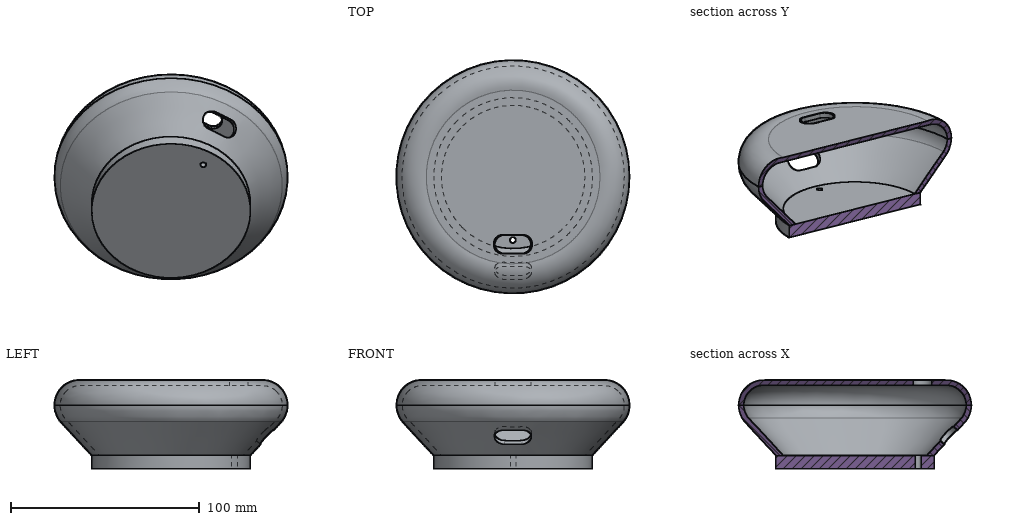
import cadquery as cq
import math

outer_radius = 61.9
total_height = 47.1
wall = 3.0

base_radius = 42.1
base_height = 7.0
cable_hole_diameter = 3.0
cable_hole_y = -33.5

rim_radius = 13.5
rim_center_radius = outer_radius - rim_radius
parting_height = total_height - rim_radius
top_face_radius = 46.0
knuckle_height = 25.1

cover_slot_length = 19.0
cover_slot_width = 9.7
cover_recess_length = 20.5
cover_recess_width = 10.1
cover_recess_depth = 0.1
cover_slot_y = -35.8
bowl_slot_length = 19.5
bowl_slot_width = 10.1
bowl_slot_height = 16.6

inner_rim_radius = rim_radius - wall
knuckle_angle = math.asin((knuckle_height - parting_height) / rim_radius)
top_face_angle = math.acos((top_face_radius - rim_center_radius) / rim_radius)
knuckle_radius = rim_center_radius + rim_radius * math.cos(knuckle_angle)
cone_angle = math.atan2(knuckle_radius - base_radius, knuckle_height - base_height)
base_inner_radius = base_radius - wall / math.cos(cone_angle)


def rim_point(radius, angle):
    """Point (r, z) on a circle about the rim center, angle measured from the outward direction."""
    return (rim_center_radius + radius * math.cos(angle), parting_height + radius * math.sin(angle))


def make_base():
    """Solid disc that closes the bowl from below, with a small cable hole."""
    disc = cq.Workplane("XY").circle(base_radius).extrude(base_height)
    hole = cq.Workplane("XY").center(0, cable_hole_y).circle(cable_hole_diameter / 2).extrude(base_height)
    return disc.cut(hole)


def make_bowl():
    """Conical shell that rises from the base and curves into the lower half of the rim."""
    shell = (
        cq.Workplane("XZ")
        .moveTo(base_inner_radius, base_height)
        .lineTo(base_radius, base_height)
        .lineTo(*rim_point(rim_radius, knuckle_angle))
        .threePointArc(rim_point(rim_radius, knuckle_angle / 2), rim_point(rim_radius, 0))
        .lineTo(*rim_point(inner_rim_radius, 0))
        .threePointArc(
            rim_point(inner_rim_radius, knuckle_angle / 2), rim_point(inner_rim_radius, knuckle_angle)
        )
        .close()
        .revolve(360, (0, 0, 0), (0, 1, 0))
    )
    return shell.cut(bowl_slot())


def bowl_slot():
    """Slot cutter perpendicular to the cone on the -Y side."""
    cone_radius = base_radius + (bowl_slot_height - base_height) * math.tan(cone_angle)
    outward = (0, -math.cos(cone_angle), -math.sin(cone_angle))
    plane = cq.Plane(origin=(0, -cone_radius, bowl_slot_height), xDir=(1, 0, 0), normal=outward)
    return cq.Workplane(plane).slot2D(bowl_slot_length, bowl_slot_width).extrude(2 * wall, both=True)


def make_cover():
    """Flat-topped shell with the upper half of the rim and a slot near the -Y side."""
    top_face_height = rim_point(rim_radius, top_face_angle)[1]
    inner_edge = rim_point(inner_rim_radius, math.pi / 2)
    ceiling_height = inner_edge[1]
    shell = (
        cq.Workplane("XZ")
        .moveTo(0, top_face_height)
        .lineTo(*rim_point(rim_radius, top_face_angle))
        .threePointArc(rim_point(rim_radius, top_face_angle / 2), rim_point(rim_radius, 0))
        .lineTo(*rim_point(inner_rim_radius, 0))
        .threePointArc(rim_point(inner_rim_radius, math.pi / 4), inner_edge)
        .lineTo(0, ceiling_height)
        .close()
        .revolve(360, (0, 0, 0), (0, 1, 0))
    )
    slot = cover_slot(cover_slot_length, cover_slot_width, ceiling_height)
    recess = cover_slot(cover_recess_length, cover_recess_width, top_face_height - cover_recess_depth)
    return shell.cut(slot).cut(recess)


def cover_slot(length, width, bottom_height):
    """Vertical slot cutter in the cover, from the given height to above the top face."""
    return (
        cq.Workplane("XY", origin=(0, cover_slot_y, bottom_height))
        .slot2D(length, width)
        .extrude(total_height - bottom_height)
    )


base = make_base()
bowl = make_bowl()
cover = make_cover()

result = cq.Compound.makeCompound([base.val(), bowl.val(), cover.val()])